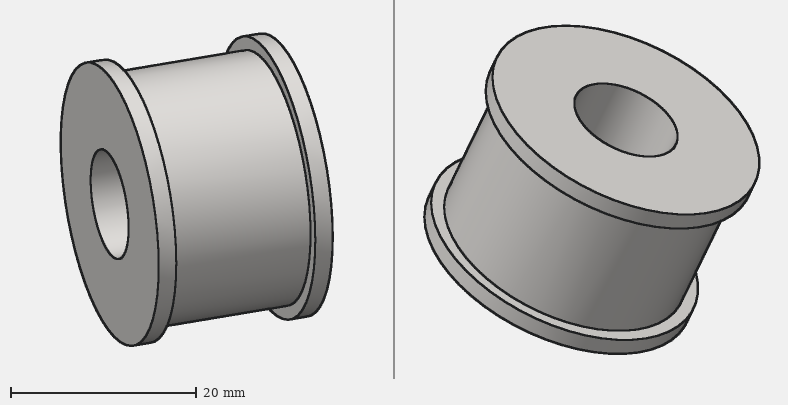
import cadquery as cq

flange_diameter = 31.0
drum_diameter = 28.0
bore_diameter = 12.0
total_width = 20.0
flange_width = 2.0

drum_width = total_width - 2 * flange_width


def disc(diameter, width, start_y):
    """Solid cylinder along +Y, starting at start_y."""
    plane = cq.Workplane("XZ", origin=(0, start_y, 0))
    return plane.circle(diameter / 2).extrude(-width)


front_y = -total_width / 2
drum_front_y = front_y + flange_width
drum_back_y = drum_front_y + drum_width

spool = disc(drum_diameter, drum_width, drum_front_y)
for flange_y in (front_y, drum_back_y):
    spool = spool.union(disc(flange_diameter, flange_width, flange_y))

result = spool.cut(disc(bore_diameter, total_width, front_y))